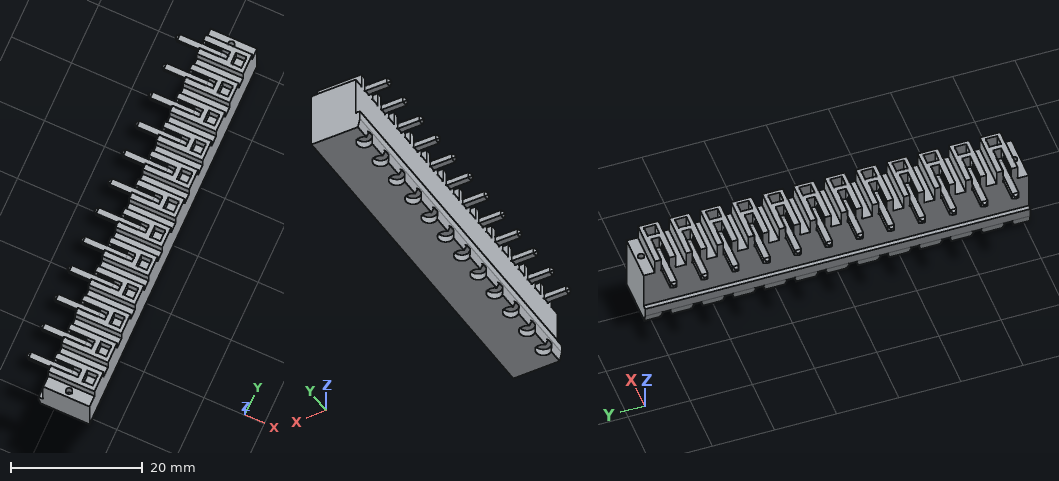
import cadquery as cq
import math


length = 62.0
overall_depth = 11.9
overall_height = 12.2

tower_height = 2.5
housing_depth = 7.75
lip_reach = 0.75
lip_height = 3.05
lip_taper_height = 1.55
lip_taper_depth = 0.4
shoulder_z = overall_height - tower_height
back_x = overall_depth
face_x = back_x - housing_depth
lip_x = face_x - lip_reach

pole_count = 12
pole_span = 55.0
pole_pitch = pole_span / (pole_count - 1)
tower_width = 3.35

pin_size = 1.05
pin_end_x = 8.6
pin_bend_radius = 1.25
pin_tip_length = 0.45
pin_tip_size = 0.45
pin_top_z = shoulder_z + pin_size
pin_leg_depth = 1.85
slot_width = 1.3
slot_end_clearance = 0.05

rib_setback = 0.55
rib_length = 2.6
rib_reach = 0.155
rib_slope_height = 0.25
rib_top_gap = 0.3

opening_depth_x = 1.75
opening_width_y = 1.85
opening_back_wall = 0.6

end_hole_diameter = 1.0
end_hole_inset = 1.0
end_hole_depth = 2.5
end_hole_x = 8.05

recess_diameter = 2.5
recess_height = 1.2
recess_inset = 0.85

pole_positions = [i * pole_pitch - pole_span / 2 for i in range(pole_count)]


def block(x_start, x_end, y_center, width, z_start, z_end):
    """Box given by its X and Z limits, centred on y_center."""
    return (
        cq.Workplane("XY")
        .box(x_end - x_start, width, z_end - z_start, centered=(False, True, False))
        .translate((x_start, y_center, z_start))
    )


def housing_base():
    """Long body with the tapered lip along its lower front edge."""
    outline = [
        (back_x, 0),
        (lip_x + lip_taper_depth, 0),
        (lip_x, lip_taper_height),
        (lip_x, lip_height),
        (face_x, lip_height),
        (face_x, shoulder_z),
        (back_x, shoulder_z),
    ]
    return cq.Workplane("XZ").polyline(outline).close().extrude(length / 2, both=True)


def tower(y):
    """Raised block with an open pin slot and a rectangular opening."""
    body = block(face_x, back_x, y, tower_width, shoulder_z, overall_height)
    slot = block(face_x, pin_end_x + slot_end_clearance, y, slot_width, shoulder_z, overall_height)
    opening_end = back_x - opening_back_wall
    opening = block(
        opening_end - opening_depth_x, opening_end, y, opening_width_y, shoulder_z, overall_height
    )
    return body.cut(slot).cut(opening)


def retaining_ribs(y):
    """Facing pair of ribs on the slot walls, with lead-in slopes on top."""
    wall = slot_width / 2
    tip = wall - rib_reach
    top_z = overall_height - rib_top_gap
    profile = [(wall, pin_top_z), (wall, top_z), (tip, top_z - rib_slope_height), (tip, pin_top_z)]
    rib = (
        cq.Workplane("YZ", origin=(face_x + rib_setback, 0, 0))
        .polyline(profile)
        .close()
        .extrude(rib_length)
    )
    return rib.union(rib.mirror("XZ")).translate((0, y, 0))


def pin(y):
    """Square pin with a pyramid tip, bent down into the housing."""
    bend_offset = pin_bend_radius * (1 - math.sqrt(0.5))
    bar = (
        cq.Workplane("XZ")
        .moveTo(pin_tip_length, shoulder_z)
        .lineTo(pin_tip_length, pin_top_z)
        .lineTo(pin_end_x - pin_bend_radius, pin_top_z)
        .threePointArc(
            (pin_end_x - bend_offset, pin_top_z - bend_offset),
            (pin_end_x, pin_top_z - pin_bend_radius),
        )
        .lineTo(pin_end_x, shoulder_z - pin_leg_depth)
        .lineTo(pin_end_x - pin_size, shoulder_z - pin_leg_depth)
        .lineTo(pin_end_x - pin_size, shoulder_z)
        .close()
        .extrude(pin_size / 2, both=True)
    )
    tip = (
        cq.Workplane("YZ")
        .rect(pin_tip_size, pin_tip_size)
        .workplane(offset=pin_tip_length)
        .rect(pin_size, pin_size)
        .loft(ruled=True)
        .translate((0, 0, shoulder_z + pin_size / 2))
    )
    return bar.union(tip).translate((0, y, 0))


def lip_recess(y):
    """Cutter for one round recess, opening downward and through the lip."""
    center_x = lip_x + lip_taper_depth + recess_inset
    return (
        cq.Workplane("XY").center(center_x, y).circle(recess_diameter / 2).extrude(recess_height)
    )


result = housing_base()
for y in pole_positions:
    result = result.union(tower(y)).union(pin(y)).union(retaining_ribs(y)).cut(lip_recess(y))

end_hole_y = length / 2 - end_hole_inset
end_holes = (
    cq.Workplane("XY", origin=(0, 0, shoulder_z - end_hole_depth))
    .pushPoints([(end_hole_x, -end_hole_y), (end_hole_x, end_hole_y)])
    .circle(end_hole_diameter / 2)
    .extrude(end_hole_depth)
)
result = result.cut(end_holes)